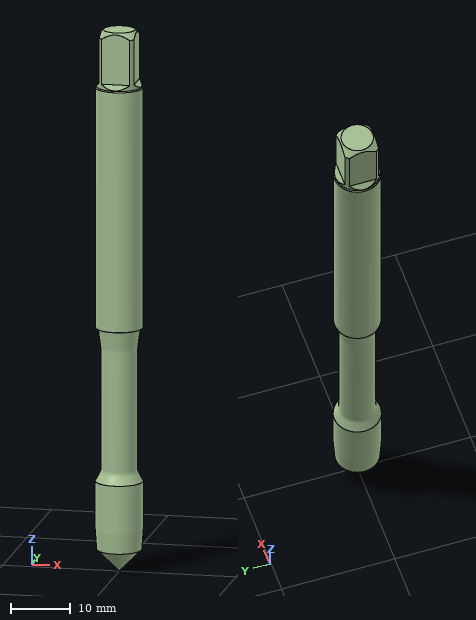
import cadquery as cq

TOTAL_LENGTH = 93.6

HEAD_RADIUS = 8.1 / 2
POINT_RADIUS = 7.7 / 2
POINT_HEIGHT = POINT_RADIUS
LEAD_TOP = 7.2
HEAD_TOP = 15.6

NECK_RADIUS = 6.3 / 2
COLLAR_CONE_TOP = 17.3
COLLAR_BLEND_RADIUS = 1.1
TAPER_BOTTOM = 38.6
TAPER_TOP_RADIUS = 7.2 / 2
TAPER_BLEND_RADIUS = 2.8

SHANK_RADIUS = 8.0 / 2
SHANK_BOTTOM = 42.1
SHANK_TOP = 83.55
DRIVE_CORNER_RADIUS = 7.7 / 2
DRIVE_WIDTH = 6.0
DRIVE_TOP_RADIUS = 2.7
DRIVE_CHAMFER = DRIVE_CORNER_RADIUS - DRIVE_TOP_RADIUS
FLAT_BOTTOM = 84.7


def revolve_profile(points):
    """Turn a closed (radius, height) outline about the Z axis."""
    return cq.Workplane("XZ").polyline(points).close().revolve(360, (0, 0, 0), (0, 1, 0))


def make_head():
    return revolve_profile([
        (0, 0),
        (POINT_RADIUS, POINT_HEIGHT),
        (HEAD_RADIUS, LEAD_TOP),
        (HEAD_RADIUS, HEAD_TOP),
        (0, HEAD_TOP),
    ])


def blend_neck_end(body, height, radius):
    """Round the inside corner where a cone meets the neck at the given height."""
    margin = 0.1
    corner = cq.selectors.BoxSelector(
        (-SHANK_RADIUS, -SHANK_RADIUS, height - margin),
        (SHANK_RADIUS, SHANK_RADIUS, height + margin),
    )
    return body.edges("%CIRCLE").edges(corner).fillet(radius)


def make_flat_cutter():
    """Material removed by one drive flat, on the +X side, with its sloping run-out."""
    reach = 2 * SHANK_RADIUS
    flat = DRIVE_WIDTH / 2
    return (
        cq.Workplane("XZ")
        .moveTo(flat, FLAT_BOTTOM)
        .lineTo(flat, TOTAL_LENGTH)
        .lineTo(reach, TOTAL_LENGTH)
        .lineTo(reach, FLAT_BOTTOM - (reach - flat))
        .close()
        .extrude(SHANK_RADIUS, both=True)
    )


def make_shank():
    body = revolve_profile([
        (0, HEAD_TOP),
        (HEAD_RADIUS, HEAD_TOP),
        (NECK_RADIUS, COLLAR_CONE_TOP),
        (NECK_RADIUS, TAPER_BOTTOM),
        (TAPER_TOP_RADIUS, SHANK_BOTTOM),
        (SHANK_RADIUS, SHANK_BOTTOM),
        (SHANK_RADIUS, SHANK_TOP),
        (DRIVE_CORNER_RADIUS, SHANK_TOP + SHANK_RADIUS - DRIVE_CORNER_RADIUS),
        (DRIVE_CORNER_RADIUS, TOTAL_LENGTH - DRIVE_CHAMFER),
        (DRIVE_TOP_RADIUS, TOTAL_LENGTH),
        (0, TOTAL_LENGTH),
    ])
    body = blend_neck_end(body, COLLAR_CONE_TOP, COLLAR_BLEND_RADIUS)
    body = blend_neck_end(body, TAPER_BOTTOM, TAPER_BLEND_RADIUS)
    flat_cutter = make_flat_cutter()
    for angle in (0, 90, 180, 270):
        body = body.cut(flat_cutter.rotate((0, 0, 0), (0, 0, 1), angle))
    return body


head = make_head()
shank = make_shank()

result = cq.Compound.makeCompound([head.val(), *shank.vals()])